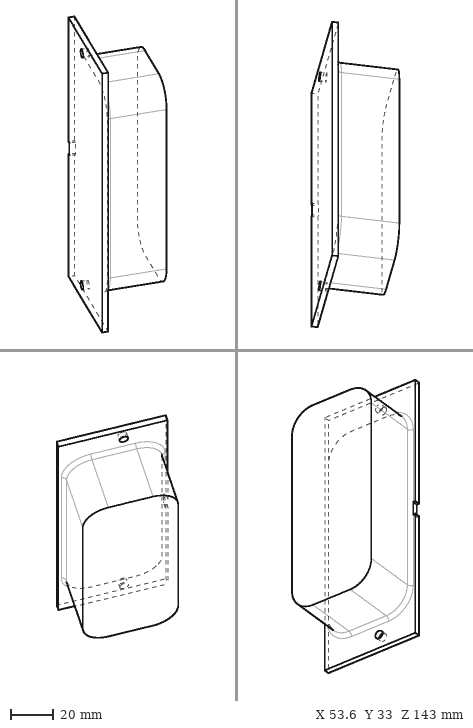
import cadquery as cq

plate_width = 53.65
plate_height = 143.0
plate_thickness = 3.0

total_depth = 33.0
block_width = 47.0
block_height = 113.0
block_corner_radius = 12.5
root_fillet_radius = 2.0

selection_margin = 0.5

hole_diameter = 4.2
hole_spacing = 128.0
hole_from_left_edge = 21.5

notch_height = 7.0
notch_depth = 1.3
notch_center_z = -0.5

plate_left = -plate_width / 2


def make_plate():
    return cq.Workplane("XY").box(
        plate_width, plate_thickness, plate_height, centered=(True, False, True)
    )


def make_block():
    """Block with rounded corners, running from the outer plate face to the full depth."""
    block = cq.Workplane("XY").box(
        block_width, total_depth, block_height, centered=(True, False, True)
    )
    return block.edges("|Y").fillet(block_corner_radius)


def fillet_block_root(body):
    """Round the inside corner where the block rises from the back of the plate."""
    half_x = block_width / 2 + selection_margin
    half_z = block_height / 2 + selection_margin
    root_edges = cq.selectors.BoxSelector(
        (-half_x, plate_thickness - selection_margin, -half_z),
        (half_x, plate_thickness + selection_margin, half_z),
    )
    return body.edges(root_edges).fillet(root_fillet_radius)


def make_screw_holes():
    hole_x = plate_left + hole_from_left_edge
    half_spacing = hole_spacing / 2
    return (
        cq.Workplane("XZ")
        .pushPoints([(hole_x, -half_spacing), (hole_x, half_spacing)])
        .circle(hole_diameter / 2)
        .extrude(-plate_thickness)
    )


def make_notch():
    return (
        cq.Workplane("XY")
        .box(notch_depth, plate_thickness, notch_height, centered=(False, False, True))
        .translate((plate_left, 0, notch_center_z))
    )


body = fillet_block_root(make_plate().union(make_block()))
result = body.cut(make_screw_holes()).cut(make_notch())